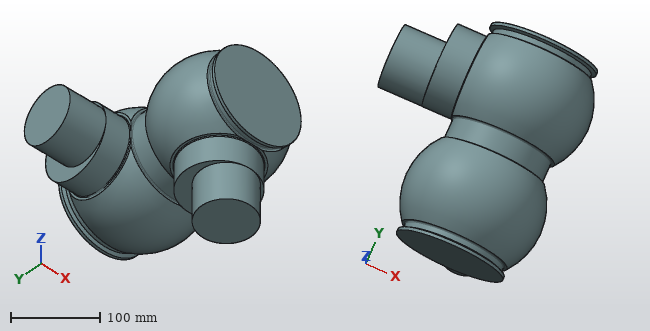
import cadquery as cq

overall_length = 260.5
ball_spacing = 130.3
ball_radius = 82.5
port_reach = 152.7

end_face_offset = 51.5
port_face_offset = 61.7

neck_radius = 60.5
flange_radius = 65.5
flange_rim_width = 4.0
flange_taper_width = 2.0
root_fillet = 1.0

root_bend = root_fillet * (1 - 0.5**0.5)

collar_radius = 50.5
collar_reach = 98.5
spigot_radius = 38.3
spigot_offset = collar_radius - spigot_radius


def add_root_fillet(outline, radius, face, direction):
    """Add a concave root arc from a flat face onto a cylinder, in (radius, length)."""
    return outline.lineTo(radius + root_fillet, face).threePointArc(
        (radius + root_bend, face + direction * root_bend),
        (radius, face + direction * root_fillet),
    )


def make_ball(center_y):
    """Ball with two flat faces across Y, revolved about the Y axis."""
    face_radius = (ball_radius**2 - end_face_offset**2) ** 0.5
    return (
        cq.Workplane("YZ", origin=(0, center_y, 0))
        .moveTo(-end_face_offset, 0)
        .lineTo(-end_face_offset, face_radius)
        .threePointArc((0, ball_radius), (end_face_offset, face_radius))
        .lineTo(end_face_offset, 0)
        .close()
        .revolve(360, (0, 0, 0), (1, 0, 0))
    )


def make_center_neck():
    """Neck between the balls, with a concave root at both ends."""
    face = ball_spacing / 2 - end_face_offset
    outline = cq.Workplane("XY").moveTo(0, -face)
    outline = add_root_fillet(outline, neck_radius, -face, 1)
    outline = outline.lineTo(neck_radius, face - root_fillet).threePointArc(
        (neck_radius + root_bend, face - root_bend), (neck_radius + root_fillet, face)
    )
    return outline.lineTo(0, face).close().revolve(360, (0, 0, 0), (0, 1, 0))


def make_end_flange():
    """Short neck and tapered-back flange on the +Y end."""
    end = overall_length / 2
    face = ball_spacing / 2 + end_face_offset
    rim_back = end - flange_rim_width
    outline = cq.Workplane("XY").moveTo(0, face)
    outline = add_root_fillet(outline, neck_radius, face, 1)
    return (
        outline.lineTo(neck_radius, rim_back - flange_taper_width)
        .lineTo(flange_radius, rim_back)
        .lineTo(flange_radius, end)
        .lineTo(0, end)
        .close()
        .revolve(360, (0, 0, 0), (0, 1, 0))
    )


def make_port():
    """Stepped port pointing down from the origin; its spigot is offset towards -Y."""
    outline = cq.Workplane("XZ").moveTo(0, -port_face_offset)
    outline = add_root_fillet(outline, collar_radius, -port_face_offset, -1)
    collar = (
        outline.lineTo(collar_radius, -collar_reach)
        .lineTo(0, -collar_reach)
        .close()
        .revolve(360, (0, 0, 0), (0, 1, 0))
    )
    spigot = (
        cq.Workplane("XY", origin=(0, -spigot_offset, -port_reach))
        .circle(spigot_radius)
        .extrude(port_reach - collar_reach)
    )
    return collar.union(spigot)


def make_port_face_cutter():
    """Block that removes the ball cap below the port face."""
    depth = ball_radius - port_face_offset
    return (
        cq.Workplane("XY", origin=(0, 0, -ball_radius))
        .rect(2 * ball_radius, 2 * ball_radius)
        .extrude(depth)
    )


def place_on_front_ball(shape):
    return shape.translate((0, -ball_spacing / 2, 0))


def place_on_rear_ball(shape):
    """Turn a downward shape to point along -X and move it to the rear ball."""
    return shape.rotate((0, 0, 0), (0, 1, 0), 90).translate((0, ball_spacing / 2, 0))


port = make_port()
cutter = make_port_face_cutter()
flange = make_end_flange()

front_ball = make_ball(-ball_spacing / 2).cut(place_on_front_ball(cutter))
rear_ball = make_ball(ball_spacing / 2).cut(place_on_rear_ball(cutter))

result = (
    front_ball.union(make_center_neck())
    .union(rear_ball)
    .union(flange)
    .union(flange.mirror("XZ"))
    .union(place_on_front_ball(port))
    .union(place_on_rear_ball(port))
)